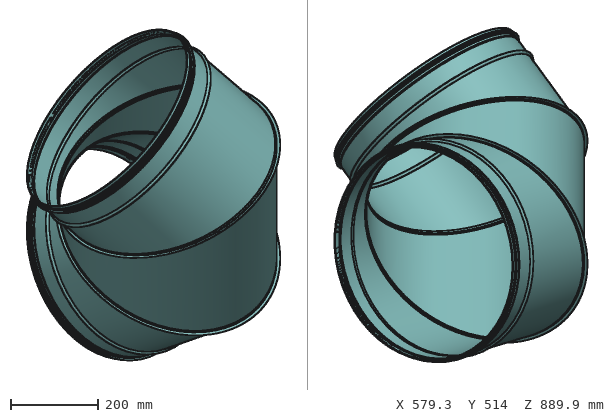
import cadquery as cq
import math


bend_radius = 296.0
end_angle = 45.0
mitre_angle = end_angle / 2
collar_length = 84.0

sheet = 0.45
duct_radius = 498.5 / 2

band_width = 5.0
band_jog = sheet / 2
flange_radius = 514.0 / 2

bead_radius = 509.0 / 2
bead_width = 9.0
bead_setback = 72.0

seat_radius = 494.0 / 2
seat_length = 22.0
shoulder_length = 4.0

seal_radius = duct_radius
seal_neck_radius = 495.0 / 2
seal_body_length = 16.0
front_lip_radius = 504.0 / 2
front_lip_setback = 8.0
rear_lip_radius = bead_radius
lip_thickness = 2.0

reach = bend_radius + 2 * duct_radius
mitre_drop = reach * math.tan(math.radians(mitre_angle))


def revolve_about_duct(profile):
    """Turn a (radius, Z) profile about the duct centre line, starting at the throat of the bend."""
    points = [(bend_radius - radius, z) for radius, z in profile]
    outline = cq.Workplane("XZ").polyline(points).close()
    return outline.revolve(360, (bend_radius, 0), (bend_radius, 1))


def duct_blank(radius):
    """Solid cylinder along the duct centre line, long enough for every cut."""
    return revolve_about_duct([(0, -reach), (radius, -reach), (radius, reach), (0, reach)])


def collar_blank(inset):
    """Solid collar with seat and bead, its surface moved inward by the inset."""
    wall = duct_radius - inset
    seat = seat_radius - inset
    seat_start = collar_length - seat_length
    blank = revolve_about_duct([
        (0, -reach),
        (wall, -reach),
        (wall, seat_start - shoulder_length),
        (seat, seat_start),
        (seat, collar_length),
        (0, collar_length),
    ])
    return blank.union(bead_ring(inset))


def bead_ring(inset):
    """Disc with a rounded rim that fills the bead, its surface moved inward by the inset."""
    middle = collar_length - bead_setback
    half_width = bead_width / 2 - inset
    wall = bend_radius - duct_radius + inset
    outline = (
        cq.Workplane("XZ")
        .moveTo(bend_radius, middle - half_width)
        .lineTo(wall, middle - half_width)
        .threePointArc((bend_radius - bead_radius + inset, middle), (wall, middle + half_width))
        .lineTo(bend_radius, middle + half_width)
        .close()
    )
    return outline.revolve(360, (bend_radius, 0), (bend_radius, 1))


def prism_across(points):
    """Prism parallel to Y, wide enough to span the duct, over an XZ outline."""
    return cq.Workplane("XZ").polyline(points).close().extrude(2 * duct_radius, both=True)


def joint_slice(radius, thickness):
    """Slice of a duct cylinder resting on the mitre plane that falls away along +X."""
    lift = thickness / math.cos(math.radians(mitre_angle))
    slab = prism_across([(0, 0), (reach, -mitre_drop), (reach, lift - mitre_drop), (0, lift)])
    return duct_blank(radius).intersect(slab)


def joint_outside():
    """Band and flange that a shell carries at a mitre joint."""
    return joint_slice(duct_radius + band_jog, band_width).union(joint_slice(flange_radius, sheet))


def joint_inside():
    """Clearance inside the band at a mitre joint."""
    return joint_slice(duct_radius + band_jog - sheet, band_width)


def make_collar():
    space = prism_across([(0, 0), (reach, -mitre_drop), (reach, collar_length), (0, collar_length)])
    outside = collar_blank(0).intersect(space).union(joint_outside())
    return outside.cut(collar_blank(sheet)).cut(joint_inside())


def make_gore():
    space = prism_across([(0, 0), (reach, mitre_drop), (reach, -mitre_drop)])
    outside = duct_blank(duct_radius).intersect(space)
    inside = duct_blank(duct_radius - sheet)
    lower_outside = joint_outside()
    lower_inside = joint_inside()
    outside = outside.union(lower_outside).union(lower_outside.mirror("XY"))
    return outside.cut(inside).cut(lower_inside).cut(lower_inside.mirror("XY"))


def make_seal():
    front_lip = collar_length - front_lip_setback
    body_end = collar_length - seal_body_length
    rear_lip = body_end + lip_thickness
    neck_end = collar_length - seat_length
    return revolve_about_duct([
        (seat_radius, collar_length),
        (seal_radius, collar_length),
        (seal_radius, front_lip),
        (front_lip_radius, front_lip),
        (front_lip_radius, front_lip - lip_thickness),
        (seal_radius, front_lip - lip_thickness),
        (seal_radius, rear_lip),
        (rear_lip_radius, rear_lip),
        (rear_lip_radius, body_end),
        (seal_neck_radius, body_end),
        (seal_neck_radius, neck_end),
        (seat_radius, neck_end),
    ])


def at_both_ends(body):
    """Copies of a body turned to the upper end of the bend and mirrored to the lower end."""
    upper = body.rotate((0, 0, 0), (0, 1, 0), -end_angle)
    return [upper, upper.mirror("XY")]


gore = make_gore()
collars = at_both_ends(make_collar())
seals = at_both_ends(make_seal())

result = cq.Compound.makeCompound([body.solids().val() for body in [gore, *collars, *seals]])